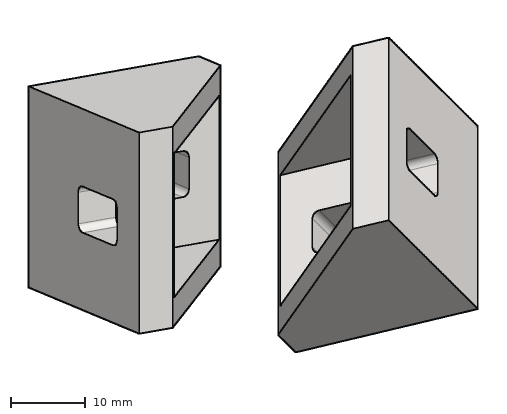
import cadquery as cq

leg = 27.2
height = 28.0
end_flat = 5.35
wall = 6.0
gusset = 4.0

slot_length = 9.5
slot_height = 6.4
slot_corner_radius = 1.0
slot_center = 17.0


def make_body():
    """Solid prism with a right-angled corner at the origin and a sloping open side."""
    return (
        cq.Workplane("XY")
        .polyline([(0, 0), (leg, 0), (leg, end_flat), (end_flat, leg), (0, leg)])
        .close()
        .extrude(height)
    )


def make_cavity():
    """Space behind the walls and between the gussets, open on the sloping side."""
    return cq.Workplane("XY").box(leg, leg, height - 2 * gusset, centered=False).translate((wall, wall, gusset))


def make_slot_along_x():
    """Rounded slot through the wall at X = 0."""
    return (
        cq.Workplane("XY")
        .box(wall, slot_length, slot_height)
        .edges("|X")
        .fillet(slot_corner_radius)
        .translate((wall / 2, slot_center, height / 2))
    )


def make_slot_along_y():
    """Rounded slot through the wall at Y = 0."""
    return (
        cq.Workplane("XY")
        .box(slot_length, wall, slot_height)
        .edges("|Y")
        .fillet(slot_corner_radius)
        .translate((slot_center, wall / 2, height / 2))
    )


result = make_body().cut(make_cavity()).cut(make_slot_along_x()).cut(make_slot_along_y())